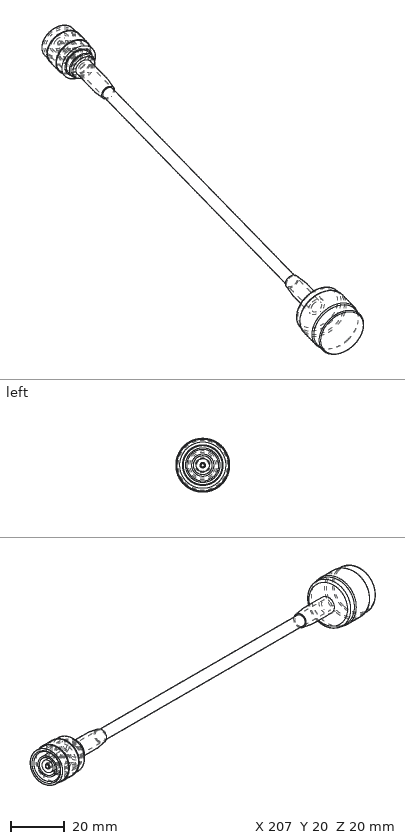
import cadquery as cq


total_length = 207.0

cable_radius = 4.5 / 2
sleeve_radius = 6.8 / 2
sleeve_tip_radius = 5.5 / 2
small_sleeve_shoulder_x = 31.3
small_sleeve_tip_x = 36.2
large_sleeve_tip_x = 170.5
large_sleeve_shoulder_x = 176.0

small_nut_radius = 14.5 / 2
small_nut_bore_radius = 11.8 / 2
small_nut_length = 14.7
small_nut_bore_chamfer = 0.52
small_band_radius = 15.1 / 2
small_band_start_x = 4.1
small_band_end_x = 10.8

cavity_floor_x = small_band_end_x
shank_radius = 5.4
shank_end_x = 17.0
collar_radius = 4.8
collar_end_x = 18.5
barrel_front_x = 0.6
barrel_radius = 4.1
barrel_bore_radius = 3.5

insulator_front_x = 0.8
insulator_radius = 2.5
insulator_bore_radius = 1.0
pin_front_x = 0.6
pin_radius = 0.6

large_back_x = 188.5
large_back_rim_x = 189.5
large_nut_radius = 19.3 / 2
large_back_rim_radius = large_nut_radius - 1.0
large_back_bevel_length = 0.6
large_band_radius = 20.0 / 2
large_band_start_x = 192.5
large_band_end_x = 202.1
large_band_ramp_length = 0.6
large_front_chamfer = 0.5


def revolve_outline(points):
    """Revolve a closed (x, radius) outline fully about the X axis."""
    return cq.Workplane("XZ").polyline(points).close().revolve(360, (0, 0, 0), (1, 0, 0))


def make_rod(start_x, end_x, radius):
    return revolve_outline([(start_x, 0), (end_x, 0), (end_x, radius), (start_x, radius)])


def make_tube(start_x, end_x, inner_radius, outer_radius):
    return revolve_outline(
        [
            (start_x, inner_radius),
            (end_x, inner_radius),
            (end_x, outer_radius),
            (start_x, outer_radius),
        ]
    )


def make_cable():
    """Cable running from the back of one connector to the back of the other."""
    return make_rod(collar_end_x, large_back_x, cable_radius)


def make_sleeve(butt_x, shoulder_x, tip_x):
    """Sleeve that butts against a connector and tapers from its shoulder to its tip."""
    return revolve_outline(
        [
            (butt_x, cable_radius),
            (tip_x, cable_radius),
            (tip_x, sleeve_tip_radius),
            (shoulder_x, sleeve_radius),
            (butt_x, sleeve_radius),
        ]
    )


def make_small_nut():
    """Coupling nut with a raised band and a chamfered bore mouth."""
    return revolve_outline(
        [
            (0, small_nut_bore_radius + small_nut_bore_chamfer),
            (0, small_nut_radius),
            (small_band_start_x, small_nut_radius),
            (small_band_start_x, small_band_radius),
            (small_band_end_x, small_band_radius),
            (small_band_end_x, small_nut_radius),
            (small_nut_length, small_nut_radius),
            (small_nut_length, small_nut_bore_radius),
            (small_nut_bore_chamfer, small_nut_bore_radius),
        ]
    )


def make_small_body():
    """Plug that closes the nut, with the hollow contact barrel and the stepped back."""
    plug = make_rod(cavity_floor_x, small_nut_length, small_nut_bore_radius)
    barrel = make_tube(barrel_front_x, cavity_floor_x, barrel_bore_radius, barrel_radius)
    shank = make_rod(small_nut_length, shank_end_x, shank_radius)
    collar = make_rod(shank_end_x, collar_end_x, collar_radius)
    return plug.union(barrel).union(shank).union(collar)


def make_insulator():
    """Tube standing on the cavity floor, clear of both the barrel and the pin."""
    return make_tube(insulator_front_x, cavity_floor_x, insulator_bore_radius, insulator_radius)


def make_pin():
    """Centre pin standing on the cavity floor."""
    return make_rod(pin_front_x, cavity_floor_x, pin_radius)


def make_large_connector():
    """Connector with a shallow conical back, a raised band and a chamfered front."""
    return revolve_outline(
        [
            (large_back_x, 0),
            (large_back_x, sleeve_radius),
            (large_back_rim_x, large_back_rim_radius),
            (large_back_rim_x + large_back_bevel_length, large_nut_radius),
            (large_band_start_x, large_nut_radius),
            (large_band_start_x + large_band_ramp_length, large_band_radius),
            (large_band_end_x, large_band_radius),
            (large_band_end_x + large_band_ramp_length, large_nut_radius),
            (total_length - large_front_chamfer, large_nut_radius),
            (total_length, large_nut_radius - large_front_chamfer),
            (total_length, 0),
        ]
    )


cable = make_cable()
sleeves = [
    make_sleeve(butt_x, shoulder_x, tip_x)
    for butt_x, shoulder_x, tip_x in [
        (collar_end_x, small_sleeve_shoulder_x, small_sleeve_tip_x),
        (large_back_x, large_sleeve_shoulder_x, large_sleeve_tip_x),
    ]
]
small_nut = make_small_nut()
small_body = make_small_body()
insulator = make_insulator()
pin = make_pin()
large_connector = make_large_connector()

result = cq.Compound.makeCompound(
    [
        cable.val(),
        *[sleeve.val() for sleeve in sleeves],
        small_nut.val(),
        small_body.val(),
        insulator.val(),
        pin.val(),
        large_connector.val(),
    ]
)